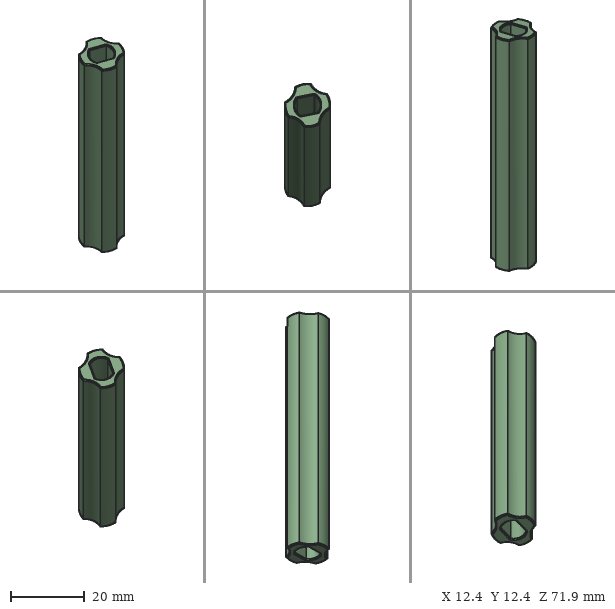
import cadquery as cq

length = 71.9
outer_diameter = 12.4
flute_count = 4
flute_radius = 5.0
web_radius = 4.95
bore_diameter = 6.9
bore_flat_width = 5.0
end_chamfer = 0.32

flute_axis_radius = web_radius + flute_radius
first_flute_angle = 180 / flute_count


def fluted_bar():
    """Round bar with concave flutes along the diagonals."""
    flutes = (
        cq.Workplane("XY")
        .polarArray(flute_axis_radius, first_flute_angle, 360, flute_count)
        .circle(flute_radius)
        .extrude(length)
    )
    return cq.Workplane("XY").circle(outer_diameter / 2).extrude(length).cut(flutes)


def double_flat_bore():
    """Round through bore with two flats facing along X."""
    flats = cq.Workplane("XY").rect(bore_flat_width, bore_diameter).extrude(length)
    return cq.Workplane("XY").circle(bore_diameter / 2).extrude(length).intersect(flats)


result = fluted_bar().cut(double_flat_bore()).faces("<Z or >Z").chamfer(end_chamfer)